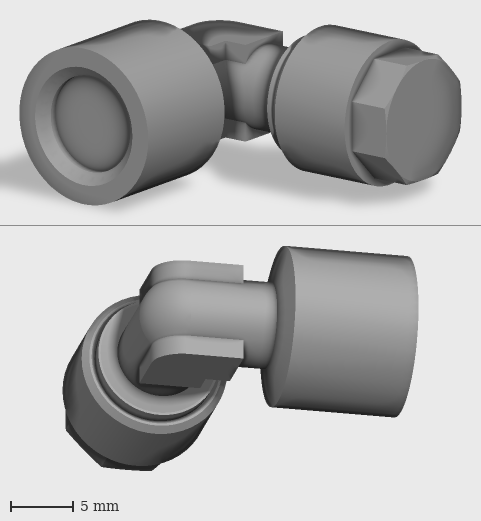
import cadquery as cq
import math

overall_length = 27.1
socket_radius = 6.5
tube_radius = 3.5

socket_cone_start = 7.05
socket_cone_end = 7.89
socket_end = 18.0
bore_mouth_radius = 4.9
bore_radius = 4.0
bore_cone_depth = 0.9
bore_depth = 1.5

nut_arm_end = overall_length - socket_radius
collar_start = 8.13
collar_cone_end = 8.56
collar_radius = 4.95
collar_rim_width = 0.2
sleeve_start = 9.6
sleeve_end = 17.15
sleeve_radius = 6.0
sleeve_chamfer = 0.51
sleeve_mouth_radius = 5.28
sleeve_mouth_depth = sleeve_mouth_radius - collar_radius
octagon_flats = 9.97
octagon_sides = 8
octagon_chamfer = 0.15

pad_inner_side = 2.5
pad_outer_side = 4.5
pad_corner_radius = 2.5
pad_height = 4.05


def turned(points):
    """Revolve a (distance, radius) outline about the X axis."""
    return cq.Workplane("XY").polyline(points).close().revolve(360, (0, 0, 0), (1, 0, 0))


def make_socket_arm():
    arm = turned([
        (0, 0),
        (0, tube_radius),
        (socket_cone_start, tube_radius),
        (socket_cone_end, socket_radius),
        (socket_end, socket_radius),
        (socket_end, bore_mouth_radius),
        (socket_end - bore_cone_depth, bore_radius),
        (socket_end - bore_depth, bore_radius),
        (socket_end - bore_depth, 0),
    ])
    return arm.rotate((0, 0, 0), (0, 0, 1), -90)


def make_nut_arm():
    return turned([
        (0, 0),
        (0, tube_radius),
        (collar_start, tube_radius),
        (collar_cone_end, collar_radius - collar_rim_width),
        (collar_cone_end, collar_radius),
        (sleeve_start + sleeve_mouth_depth, collar_radius),
        (sleeve_start, sleeve_mouth_radius),
        (sleeve_start, sleeve_radius - sleeve_chamfer),
        (sleeve_start + sleeve_chamfer, sleeve_radius),
        (sleeve_end, sleeve_radius),
        (sleeve_end, 0),
    ])


def make_octagon():
    """Octagonal nut with flats facing Y and Z and its outer corners turned to a cone."""
    corner_radius = octagon_flats / 2 / math.cos(math.pi / octagon_sides)
    prism = (
        cq.Workplane("YZ", origin=(sleeve_end, 0, 0))
        .transformed(rotate=(0, 0, 180 / octagon_sides))
        .polygon(octagon_sides, 2 * corner_radius)
        .extrude(nut_arm_end - sleeve_end)
    )
    envelope = turned([
        (sleeve_end, 0),
        (sleeve_end, corner_radius),
        (nut_arm_end - octagon_chamfer, corner_radius),
        (nut_arm_end, octagon_flats / 2),
        (nut_arm_end, 0),
    ])
    return prism.intersect(envelope)


def make_pads():
    """One L-shaped prism through the elbow, leaving a pad on each side of the tubes."""
    return (
        cq.Workplane("XY", origin=(0, 0, -pad_height))
        .moveTo(-pad_inner_side, -pad_outer_side)
        .lineTo(pad_inner_side, -pad_outer_side)
        .lineTo(pad_inner_side, -pad_inner_side)
        .lineTo(pad_outer_side, -pad_inner_side)
        .lineTo(pad_outer_side, pad_inner_side)
        .lineTo(pad_corner_radius - pad_inner_side, pad_inner_side)
        .radiusArc((-pad_inner_side, pad_inner_side - pad_corner_radius), -pad_corner_radius)
        .close()
        .extrude(2 * pad_height)
    )


elbow = cq.Workplane("XY").sphere(tube_radius)
result = (
    elbow.union(make_socket_arm())
    .union(make_nut_arm())
    .union(make_octagon())
    .union(make_pads())
)